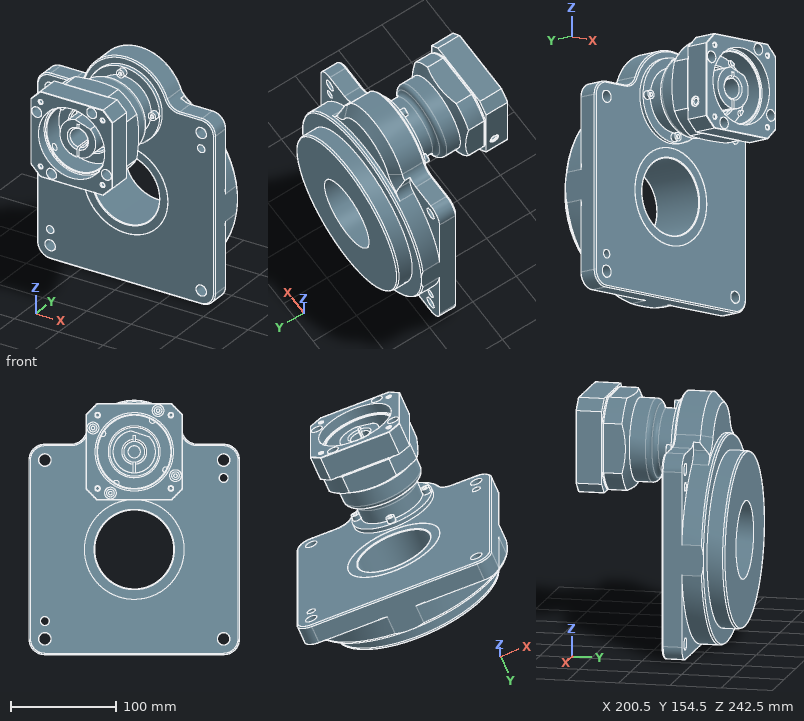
import cadquery as cq
import math


plate_half = 100.27
plate_back = 19.6
plate_corner_r = 15.0
plate_edge_chamfer = 1.5

overall_height = 242.5
lobe_r = 49.2
motor_z = overall_height - plate_half - lobe_r
lobe_fillet_r = 15.0
lobe_back = 35.6
lobe_back_chamfer = 10.0
lobe_rear_half_width = 50.2

disc_r = 101.4
disc_back = 40.7
disc_edge_r = 100.5
disc_edge_depth = 2.0
hub_r = 85.0
hub_back = 58.2
hub_edge_r = 84.5
hub_edge_depth = 2.2

bore_r = 37.5
bore_chamfer = 0.7
shaft_face_r = 47.5
shaft_face_recess = 0.2

hole_offset = 85.0
mount_hole_r = 5.8
pin_hole_r = 4.1
pin_hole_spacing = 17.0

flange_r = 41.2
flange_front = -4.4
flange_embed = 1.5
neck_r = 31.5
neck_front = -19.2
body_r = 40.3
body_shoulder = -29.5
body_front = -45.3
adapter_cone_front = -51.5
adapter_r = 51.2
adapter_half = 45.0
adapter_front = -69.5
waist_inset = 0.7
block_rear = -71.0
block_front = -96.3
block_half = 46.0
block_corner = 10.7
block_edge_chamfer = 0.5

flange_screw_circle_r = 36.0
flange_screw_r = 4.1
flange_screw_front = -9.7
flange_socket_r = 2.0
flange_socket_depth = 2.5

pilot_r = 37.3
pilot_depth = 10.2
pocket_r = 35.0
pocket_chamfer = 0.7
pocket_depth = 32.5
pit_r = 24.7
pit_depth = 43.6
pit_chamfer = 1.5
inner_screw_circle_r = 34.7
inner_screw_r = 3.0
inner_screw_height = 3.0

clamp_r = 20.1
clamp_face_depth = 11.2
clamp_bore_r = 10.0
clamp_bore_chamfer = 2.0
clamp_bore_depth = 29.0
clamp_core_r = 5.8
clamp_core_depth = 34.0
clamp_slot_width = 2.5
clamp_slot_top = 15.5
clamp_slot_depth = 24.2
clamp_flat_distance = 18.0
clamp_flat_angle = 72.0

block_screw_circle_r = 45.3
block_screw_start_angle = 60.0
counterbore_r = 5.5
counterbore_depth = 20.4
screw_head_r = 3.6
screw_head_height = 4.0
screw_socket_r = 1.7
screw_socket_depth = 2.5
tapped_offset = 35.0
tapped_r = 2.0
tapped_depth = 12.1
tapped_point = 1.2
tapped_chamfer = 0.7
access_y = -80.5
access_drop = 19.2
access_r = 3.0
access_rim_r = 4.8
access_rim_depth = 1.2


def rod(radius, y_start, y_end, x=0.0, z=0.0):
    """Cylinder along Y between two stations."""
    low = min(y_start, y_end)
    base = cq.Workplane("XZ", origin=(x, low, z))
    return base.circle(radius).extrude(-abs(y_end - y_start))


def box(half_x, half_z, y_start, y_end, z=0.0):
    """Rectangular block between two stations, centred on X = 0."""
    low = min(y_start, y_end)
    base = cq.Workplane("XZ", origin=(0, low, z))
    return base.rect(2 * half_x, 2 * half_z).extrude(-abs(y_end - y_start))


def turned(points):
    """Solid turned about Y from the (radius, y) corners of an outline that touches the axis."""
    return cq.Workplane("XY").polyline(points).close().revolve(360, (0, 0), (0, 1))


def polar(radius, angle):
    """X and Z of a point on a circle about the motor axis, angle from +X in degrees."""
    z_offset = radius * math.sin(math.radians(angle))
    return radius * math.cos(math.radians(angle)), motor_z + z_offset


def on_motor_axis(solid):
    return solid.translate((0, 0, motor_z))


def fillet_waist(solid, height):
    """Round the pair of inner corners that run along Y at a given height."""
    size = overall_height
    margin = 0.2
    zone = cq.selectors.BoxSelector((-size, -size, height - margin), (size, size, height + margin))
    return solid.edges("|Y").edges(zone).fillet(lobe_fillet_r)


def slab(thickness):
    """Rounded square whose top edge flows into the lobe."""
    square = box(plate_half, plate_half, 0, thickness).edges("|Y").fillet(plate_corner_r)
    outline = square.union(rod(lobe_r, 0, thickness, z=motor_z))
    return fillet_waist(outline, plate_half)


def rear_lobe():
    """Chamfered lobe behind the plate, with straight sides flaring onto the disc rim."""
    thick = slab(lobe_back).faces(">Y").edges().chamfer(lobe_back_chamfer)
    column_half_height = overall_height / 2
    column = box(lobe_rear_half_width, column_half_height, 0, lobe_back, z=column_half_height)
    rim_z = math.sqrt(disc_r**2 - lobe_rear_half_width**2)
    window = column.union(rod(disc_r, 0, lobe_back))
    return thick.intersect(fillet_waist(window, rim_z))


def disc():
    """Disc behind the plate, trimmed flush with the plate sides and bottom."""
    round_disc = turned([
        (0, plate_back),
        (0, disc_back),
        (disc_edge_r, disc_back),
        (disc_r, disc_back - disc_edge_depth),
        (disc_r, plate_back),
    ])
    trim_half_z = overall_height / 2
    return round_disc.intersect(box(plate_half, trim_half_z, 0, disc_back, z=trim_half_z - plate_half))


def output_hub():
    return turned([
        (0, plate_back),
        (0, hub_back),
        (hub_edge_r, hub_back),
        (hub_r, hub_back - hub_edge_depth),
        (hub_r, plate_back),
    ])


def large_bore():
    """Through bore with a broken front edge and the shallow face of the hollow shaft."""
    face = rod(shaft_face_r, 0, shaft_face_recess)
    bore = rod(bore_r, 0, hub_back)
    rim_y = shaft_face_recess + bore_chamfer
    rim = turned([
        (0, 0),
        (bore_r + bore_chamfer, 0),
        (bore_r + bore_chamfer, shaft_face_recess),
        (bore_r, rim_y),
        (0, rim_y),
    ])
    return bore.union(face).union(rim)


def plate_holes():
    pin_z = hole_offset - pin_hole_spacing
    holes = rod(pin_hole_r, 0, plate_back, hole_offset, pin_z)
    holes = holes.union(rod(pin_hole_r, 0, plate_back, -hole_offset, -pin_z))
    for side_x in (-1, 1):
        for side_z in (-1, 1):
            holes = holes.union(
                rod(mount_hole_r, 0, plate_back, side_x * hole_offset, side_z * hole_offset)
            )
    return holes


def housing():
    plate = slab(plate_back).faces("<Y").edges().chamfer(plate_edge_chamfer)
    lobe = rear_lobe().intersect(box(overall_height, overall_height, plate_back, lobe_back))
    solid = plate.union(lobe).union(disc()).union(output_hub())
    return solid.cut(large_bore()).cut(plate_holes())


def gearbox_body():
    """Flange, neck and body turned about the motor axis, the neck swelling in an S-curve."""
    mid_r = (neck_r + body_r) / 2
    mid_y = (neck_front + body_shoulder) / 2
    profile = (
        cq.Workplane("XY")
        .moveTo(0, flange_embed)
        .lineTo(flange_r, flange_embed)
        .lineTo(flange_r, flange_front)
        .lineTo(neck_r, flange_front)
        .lineTo(neck_r, neck_front)
        .tangentArcPoint((mid_r, mid_y), relative=False)
        .tangentArcPoint((body_r, body_shoulder), relative=False)
        .lineTo(body_r, body_front)
        .lineTo(0, body_front)
        .close()
    )
    return profile.revolve(360, (0, 0), (0, 1))


def adapter():
    """Square with turned corners and a conical rear, followed by a narrow waist."""
    round_part = turned([
        (0, body_front),
        (body_r, body_front),
        (adapter_r, adapter_cone_front),
        (adapter_r, adapter_front),
        (0, adapter_front),
    ])
    squared = round_part.intersect(box(adapter_half, adapter_half, body_front, adapter_front))
    waist_half = adapter_half - waist_inset
    waist = rod(adapter_r - waist_inset, adapter_front, block_rear)
    waist = waist.intersect(box(waist_half, waist_half, adapter_front, block_rear))
    return squared.union(waist)


def block():
    square = box(block_half, block_half, block_rear, block_front)
    cornered = square.edges("|Y").chamfer(block_corner)
    return cornered.faces("<Y").edges().chamfer(block_edge_chamfer)


def motor_pocket():
    """Stepped bore for the motor pilot, with a deeper pit around the clamp hub."""
    pilot_floor = block_front + pilot_depth
    pocket_floor = block_front + pocket_depth
    return turned([
        (0, block_front),
        (pilot_r, block_front),
        (pilot_r, pilot_floor),
        (pocket_r + pocket_chamfer, pilot_floor),
        (pocket_r, pilot_floor + pocket_chamfer),
        (pocket_r, pocket_floor),
        (pit_r, pocket_floor),
        (pit_r - pit_chamfer, pocket_floor + pit_chamfer),
        (pit_r - pit_chamfer, block_front + pit_depth),
        (0, block_front + pit_depth),
    ])


def clamp_hub():
    """Slotted hub with one flat, and the stepped bore that receives the motor shaft."""
    face = block_front + clamp_face_depth
    pit_floor = block_front + pit_depth
    hub = rod(clamp_r, face, pit_floor)
    flat = box(clamp_r, clamp_r, face, pit_floor, z=clamp_flat_distance - clamp_r)
    tilt = 90 - clamp_flat_angle
    hub = hub.intersect(flat.rotate((0, 0, 0), (0, 1, 0), tilt))
    bore = turned([
        (0, face),
        (clamp_bore_r + clamp_bore_chamfer, face),
        (clamp_bore_r, face + clamp_bore_chamfer),
        (clamp_bore_r, face + clamp_bore_depth),
        (clamp_core_r, face + clamp_bore_depth),
        (clamp_core_r, face + clamp_core_depth),
        (0, face + clamp_core_depth),
    ])
    slot_half_height = (clamp_slot_top + clamp_r) / 2
    slot_z = clamp_slot_top - slot_half_height
    slot = box(clamp_slot_width / 2, slot_half_height, face, face + clamp_slot_depth, z=slot_z)
    return hub.cut(slot), bore


def counterbored_screw_holes():
    holes = cq.Workplane("XZ")
    floor = block_front + counterbore_depth
    head_face = floor - screw_head_height
    for quarter in range(4):
        x, z = polar(block_screw_circle_r, block_screw_start_angle + 90 * quarter)
        head = rod(screw_head_r, head_face, floor, x, z)
        head = head.cut(rod(screw_socket_r, head_face, head_face + screw_socket_depth, x, z))
        holes = holes.add(rod(counterbore_r, block_front, floor, x, z).cut(head))
    return holes


def tapped_holes():
    profile = turned([
        (0, block_front),
        (tapped_r + tapped_chamfer, block_front),
        (tapped_r, block_front + tapped_chamfer),
        (tapped_r, block_front + tapped_depth),
        (0, block_front + tapped_depth + tapped_point),
    ])
    holes = cq.Workplane("XZ")
    for side_x in (-1, 1):
        for side_z in (-1, 1):
            place = (side_x * tapped_offset, 0, motor_z + side_z * tapped_offset)
            holes = holes.add(profile.translate(place))
    return holes


def access_hole():
    """Side hole from -X into the pocket, reaching the clamp screw."""
    start = cq.Workplane("YZ", origin=(-block_half, access_y, motor_z - access_drop))
    rim = start.circle(access_rim_r).extrude(access_rim_depth)
    return start.circle(access_r).extrude(block_half - clamp_r).union(rim)


def pocket_screws():
    """Screw heads on the pocket floor, against its wall."""
    floor = block_front + pocket_depth
    screws = cq.Workplane("XZ")
    for quarter in range(4):
        x, z = polar(inner_screw_circle_r, block_screw_start_angle + 90 * quarter)
        screws = screws.add(rod(inner_screw_r, floor - inner_screw_height, floor, x, z))
    return screws


def flange_screws():
    """Socket screws holding the gearbox flange."""
    screws = cq.Workplane("XZ")
    for quarter in range(4):
        x, z = polar(flange_screw_circle_r, 90 * quarter)
        screw = rod(flange_screw_r, flange_screw_front, flange_front, x, z)
        socket_floor = flange_screw_front + flange_socket_depth
        screws = screws.add(screw.cut(rod(flange_socket_r, flange_screw_front, socket_floor, x, z)))
    return screws


def add_all(solid, parts):
    for piece in parts.vals():
        solid = solid.union(cq.Workplane(piece))
    return solid


def cut_all(solid, parts):
    for piece in parts.vals():
        solid = solid.cut(cq.Workplane(piece))
    return solid


def gearbox():
    shell = gearbox_body().union(adapter()).union(block())
    hub, hub_bore = clamp_hub()
    shell = shell.cut(motor_pocket()).union(hub).cut(hub_bore)
    unit = on_motor_axis(shell).cut(access_hole())
    unit = cut_all(unit, counterbored_screw_holes())
    unit = cut_all(unit, tapped_holes())
    unit = add_all(unit, pocket_screws())
    return add_all(unit, flange_screws())


result = housing().union(gearbox())